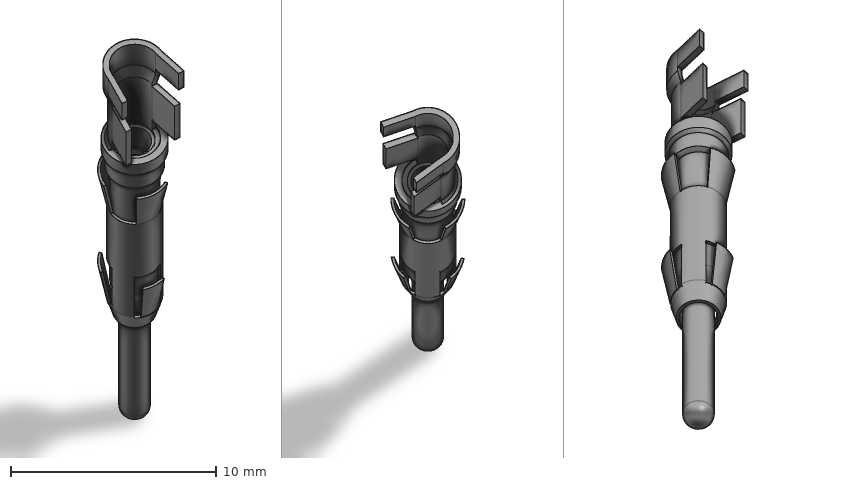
import cadquery as cq
import math

total_height = 28.7
clip_bottom_z = 8.52
core_taper_bottom_z = 9.33
core_taper_top_z = 11.25
neck_chamfer_bottom_z = 20.35
neck_chamfer_top_z = 20.52
collar_chamfer_bottom_z = 21.6
collar_chamfer_top_z = 21.8
collar_top_z = 22.7
wire_flare_top_z = 22.87
barrel_taper_bottom_z = 26.32
barrel_taper_top_z = 27.0

pin_radius = 0.77
core_radius = 1.23
neck_radius = 1.45
collar_radius = 1.65
wire_barrel_radius = 1.32
insulation_barrel_radius = 1.55
sheet_thickness = 0.32
flare_width = 0.15
barrel_angle = 180.0
barrel_centre_angle = 180.0

arm_reach = 1.65
arm_splay = 9.0
wire_arm_bottom_z = 23.4
wire_arm_top_z = 26.17
insulation_arm_bottom_z = 27.35

wire_hole_radius = 0.83
wire_hole_end_radius = 0.45
collar_recess_radius = 1.25
collar_recess_depth = 0.15
ledge_depth = 0.15
hole_taper_depth = 1.0
hole_straight_depth = 0.3
hole_point_depth = 0.3
recess_floor_z = collar_top_z - collar_recess_depth

clip_wall = 0.15
clip_radius = core_radius + clip_wall
clip_cone_top_z = 9.8
clip_tip_radius = 1.1
clip_body_top_z = 17.42
finger_tip_radius = 1.8
finger_count = 3
finger_spacing = 360.0 / finger_count
upper_finger_tip_z = 20.05
upper_finger_angle = 60.0
window_bottom_z = 9.67
window_top_z = 13.03
window_angle = 68.0
lower_finger_tip_z = 12.55
lower_finger_angle = 40.0


def revolve_profile(points, angle=360.0):
    """Revolve an (R, Z) outline about the Z axis, starting at the +X direction."""
    return cq.Workplane("XZ").polyline(points).close().revolve(angle, (0, 0, 0), (0, 1, 0))


def revolve_sector(points, centre_angle, width):
    """Part-turn revolve of an (R, Z) outline, centred on a direction in the XY plane."""
    sector = revolve_profile(points, width)
    return sector.rotate((0, 0, 0), (0, 0, 1), centre_angle - width / 2)


def make_pin_and_collar():
    profile = (
        cq.Workplane("XZ")
        .moveTo(0, 0)
        .radiusArc((pin_radius, pin_radius), -pin_radius)
        .lineTo(pin_radius, core_taper_bottom_z)
        .lineTo(core_radius, core_taper_top_z)
        .lineTo(core_radius, neck_chamfer_bottom_z)
        .lineTo(neck_radius, neck_chamfer_top_z)
        .lineTo(neck_radius, collar_chamfer_bottom_z)
        .lineTo(collar_radius, collar_chamfer_top_z)
        .lineTo(collar_radius, collar_top_z)
        .lineTo(0, collar_top_z)
        .close()
    )
    return profile.revolve(360, (0, 0, 0), (0, 1, 0))


def make_barrel():
    wire_inner = wire_barrel_radius - sheet_thickness
    insulation_inner = insulation_barrel_radius - sheet_thickness
    return revolve_sector(
        [
            (wire_inner, recess_floor_z),
            (collar_recess_radius, recess_floor_z),
            (collar_recess_radius, collar_top_z),
            (wire_barrel_radius + flare_width, collar_top_z),
            (wire_barrel_radius, wire_flare_top_z),
            (wire_barrel_radius, barrel_taper_bottom_z),
            (insulation_barrel_radius, barrel_taper_top_z),
            (insulation_barrel_radius, total_height),
            (insulation_inner, total_height),
            (insulation_inner, barrel_taper_top_z),
            (wire_inner, barrel_taper_bottom_z),
        ],
        barrel_centre_angle,
        barrel_angle,
    )


def make_arm_pair(barrel_radius, bottom_z, top_z):
    rise = arm_reach * math.tan(math.radians(arm_splay))
    inner = barrel_radius - sheet_thickness
    arm = (
        cq.Workplane("XY", origin=(0, 0, bottom_z))
        .polyline(
            [
                (0, inner),
                (arm_reach, inner + rise),
                (arm_reach, barrel_radius + rise),
                (0, barrel_radius),
            ]
        )
        .close()
        .extrude(top_z - bottom_z)
    )
    return arm.union(arm.mirror("XZ"))


def make_wire_hole():
    mouth_radius = wire_barrel_radius - sheet_thickness
    ledge_z = recess_floor_z - ledge_depth
    taper_end_z = ledge_z - hole_taper_depth
    straight_end_z = taper_end_z - hole_straight_depth
    return revolve_profile(
        [
            (0, collar_top_z),
            (collar_recess_radius, collar_top_z),
            (collar_recess_radius, recess_floor_z),
            (mouth_radius, recess_floor_z),
            (mouth_radius, ledge_z),
            (wire_hole_radius, ledge_z),
            (wire_hole_end_radius, taper_end_z),
            (wire_hole_end_radius, straight_end_z),
            (0, straight_end_z - hole_point_depth),
        ]
    )


def make_contact():
    body = make_pin_and_collar().cut(make_wire_hole())
    body = body.union(make_barrel())
    body = body.union(make_arm_pair(wire_barrel_radius, wire_arm_bottom_z, wire_arm_top_z))
    return body.union(make_arm_pair(insulation_barrel_radius, insulation_arm_bottom_z, total_height))


def make_clip_sleeve():
    return revolve_profile(
        [
            (clip_tip_radius - clip_wall, clip_bottom_z),
            (clip_tip_radius, clip_bottom_z),
            (clip_radius, clip_cone_top_z),
            (clip_radius, clip_body_top_z),
            (core_radius, clip_body_top_z),
            (core_radius, clip_cone_top_z),
        ]
    )


def make_finger(base_z, tip_z, direction, width):
    """Curved spring finger that leans outward from the sleeve."""
    return revolve_sector(
        [
            (core_radius, base_z),
            (clip_radius, base_z),
            (finger_tip_radius, tip_z),
            (finger_tip_radius - clip_wall, tip_z),
        ],
        direction,
        width,
    )


def make_window(direction):
    """Cutter for an opening through the sleeve wall."""
    return revolve_sector(
        [
            (pin_radius, window_bottom_z),
            (finger_tip_radius, window_bottom_z),
            (finger_tip_radius, window_top_z),
            (pin_radius, window_top_z),
        ],
        direction,
        window_angle,
    )


def make_clip():
    clip = make_clip_sleeve()
    for i in range(finger_count):
        direction = i * finger_spacing
        clip = clip.cut(make_window(direction))
        clip = clip.union(make_finger(window_bottom_z, lower_finger_tip_z, direction, lower_finger_angle))
        clip = clip.union(make_finger(clip_body_top_z, upper_finger_tip_z, direction, upper_finger_angle))
    return clip


contact = make_contact()
clip = make_clip()
result = cq.Compound.makeCompound([contact.solids().val(), clip.solids().val()])